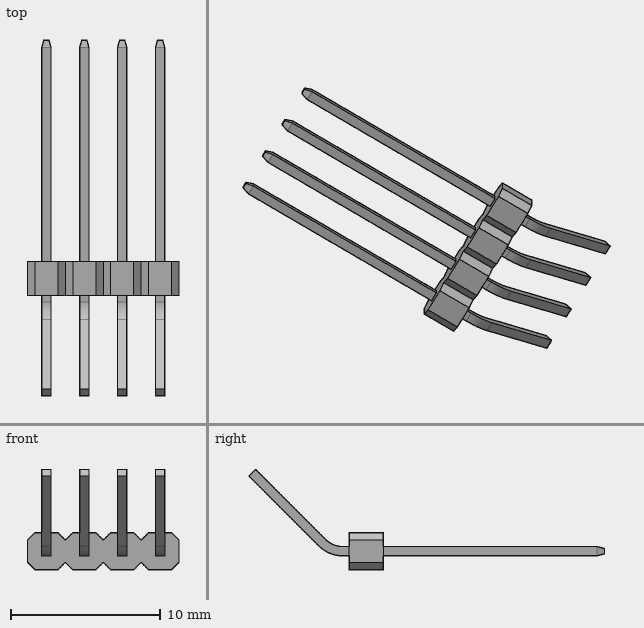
import cadquery as cq
import math

pin_count = 4
pitch = 2.54
housing_height = 2.5
housing_depth = 2.3
cell_chamfer = 0.5

pin_width = 0.64
overall_length = 23.85
overall_height = 6.74
bend_angle = 45.0
bend_inner_radius = 1.64
front_stub = 0.42
tip_length = 0.5
tip_width = 0.36

half_pin = pin_width / 2
housing_front = -housing_depth / 2
bend_start = housing_front - front_stub
bend_outer_radius = bend_inner_radius + pin_width
bend_centre_z = half_pin + bend_inner_radius
sin_bend = math.sin(math.radians(bend_angle))
cos_bend = math.cos(math.radians(bend_angle))

leg_top = overall_height - housing_height / 2
leg_length = (leg_top - bend_centre_z + bend_inner_radius * cos_bend) / sin_bend
front_extent = bend_start - bend_outer_radius * sin_bend - leg_length * cos_bend
pin_back = front_extent + overall_length
tip_start = pin_back - tip_length


def bend_point(radius, angle):
    """Point (y, z) on the bend, at an angle swept from its start."""
    swept = math.radians(angle)
    return (bend_start - radius * math.sin(swept), bend_centre_z - radius * math.cos(swept))


def leg_end(bend_end):
    """End of a leg edge that leaves the bend at the given point."""
    y, z = bend_end
    return (y - leg_length * cos_bend, z + leg_length * sin_bend)


def make_cell(x):
    """Housing cell with its four lengthwise edges chamfered."""
    cell = cq.Workplane("XY").box(pitch, housing_depth, housing_height)
    return cell.edges("|Y").chamfer(cell_chamfer).translate((x, 0, 0))


def make_tip():
    """Tapered back end of a pin."""
    plane = cq.Plane(origin=(0, tip_start, 0), xDir=(1, 0, 0), normal=(0, 1, 0))
    tip = cq.Workplane(plane).rect(pin_width, pin_width)
    return tip.workplane(offset=tip_length).rect(tip_width, tip_width).loft(ruled=True)


def make_pin(x):
    """Straight pin with a bent front leg and a tapered back tip."""
    inner_end = bend_point(bend_inner_radius, bend_angle)
    outer_end = bend_point(bend_outer_radius, bend_angle)
    bent_bar = (
        cq.Workplane("YZ")
        .moveTo(tip_start, half_pin)
        .lineTo(bend_start, half_pin)
        .threePointArc(bend_point(bend_inner_radius, bend_angle / 2), inner_end)
        .lineTo(*leg_end(inner_end))
        .lineTo(*leg_end(outer_end))
        .lineTo(*outer_end)
        .threePointArc(bend_point(bend_outer_radius, bend_angle / 2), (bend_start, -half_pin))
        .lineTo(tip_start, -half_pin)
        .close()
        .extrude(half_pin, both=True)
    )
    return bent_bar.union(make_tip()).translate((x, 0, 0))


cell_positions = [(i - (pin_count - 1) / 2) * pitch for i in range(pin_count)]

result = make_cell(cell_positions[0])
for x in cell_positions[1:]:
    result = result.union(make_cell(x))
result = result.clean()
for x in cell_positions:
    result = result.union(make_pin(x))